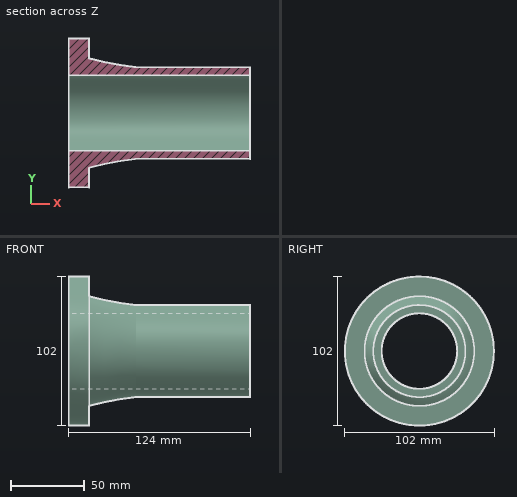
import cadquery as cq

length = 124.0
flange_diameter = 102.0
flange_thickness = 13.9
neck_diameter = 75.0
neck_end = 45.9
neck_sag = 0.6
pipe_diameter = 63.0
bore_diameter = 51.5

flange_radius = flange_diameter / 2
neck_radius = neck_diameter / 2
pipe_radius = pipe_diameter / 2
bore_radius = bore_diameter / 2

half_section = (
    cq.Workplane("XY")
    .moveTo(0, bore_radius)
    .lineTo(length, bore_radius)
    .lineTo(length, pipe_radius)
    .lineTo(neck_end, pipe_radius)
    .sagittaArc((flange_thickness, neck_radius), neck_sag)
    .lineTo(flange_thickness, flange_radius)
    .lineTo(0, flange_radius)
    .close()
)

result = half_section.revolve(360, (0, 0, 0), (1, 0, 0))